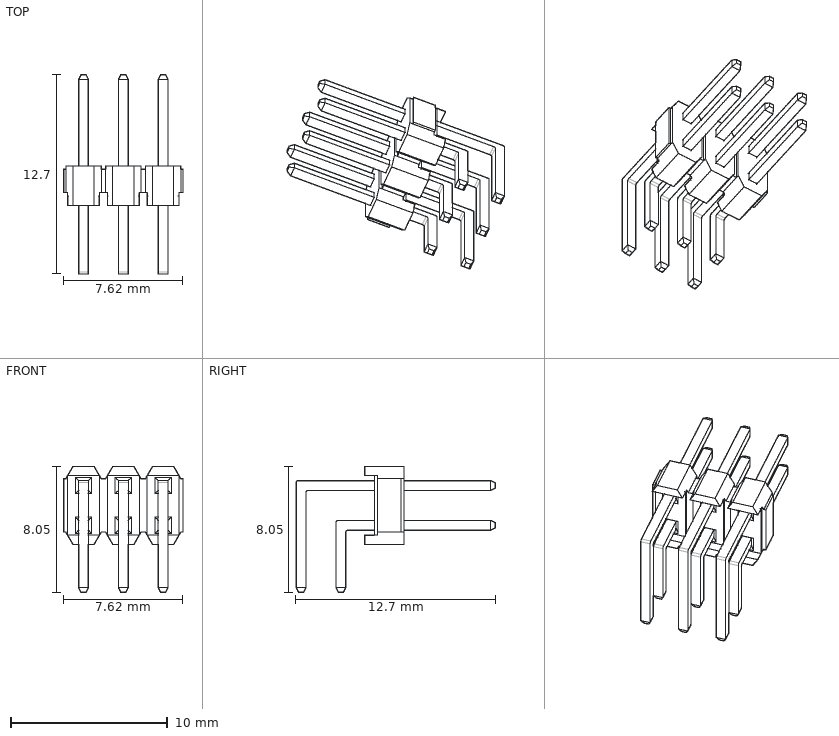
import cadquery as cq

OVERALL_LENGTH = 12.72
OVERALL_HEIGHT = 8.05

COLUMNS = 3
HOUSING_WIDTH = 7.62
PITCH = HOUSING_WIDTH / COLUMNS

HOUSING_HEIGHT = 5.0
CELL_TOP_WIDTH = 1.35
CELL_WIDTH = 2.26
WEB_HEIGHT = 3.41
WEB_BACK_Y = -0.2
WEB_FRONT_Y = -1.7
FACE_WIDTH = 2.05
FACE_HEIGHT = 3.8
FACE_Y = -1.91
LIP_Y = -2.53

FUNNEL_WIDTH = 1.04
FUNNEL_DEPTH = 0.2

PIN_WIDTH = 0.64
PIN_BACK_Y = 5.83
LONG_PIN_FRONT_Y = PIN_BACK_Y - OVERALL_LENGTH
SHORT_PIN_FRONT_Y = LONG_PIN_FRONT_Y + PITCH
PIN_BOTTOM_Z = HOUSING_HEIGHT / 2 - OVERALL_HEIGHT
BEND_RADIUS = 0.13
TIP_LENGTH = 0.3
TIP_WIDTH = 0.33

COLUMN_XS = [(i - (COLUMNS - 1) / 2) * PITCH for i in range(COLUMNS)]
UPPER_ROW_Z = PITCH / 2
LOWER_ROW_Z = -PITCH / 2


def block(width, height, back_y, front_y, x=0.0):
    """Box centred on x and on Z = 0, between two Y positions."""
    middle_y = (back_y + front_y) / 2
    return cq.Workplane("XY").box(width, back_y - front_y, height).translate((x, middle_y, 0))


def square_frustum(plane, start_width, end_width, length):
    """Solid that tapers between two squares along the normal of a plane."""
    return (
        cq.Workplane(plane)
        .rect(start_width, start_width)
        .workplane(offset=length)
        .rect(end_width, end_width)
        .loft(combine=True)
    )


def make_cell(x):
    """Bevelled column of the housing: full width at the web, lips at the front."""
    half_top = CELL_TOP_WIDTH / 2
    half_width = CELL_WIDTH / 2
    half_height = HOUSING_HEIGHT / 2
    half_web = WEB_HEIGHT / 2
    cell = (
        cq.Workplane("XZ", origin=(x, 0, 0))
        .polyline([
            (-half_top, half_height),
            (half_top, half_height),
            (half_width, half_web),
            (half_width, -half_web),
            (half_top, -half_height),
            (-half_top, -half_height),
            (-half_width, -half_web),
            (-half_width, half_web),
        ])
        .close()
        .extrude(-LIP_Y)
    )
    front_gap = block(PITCH, FACE_HEIGHT, WEB_FRONT_Y, LIP_Y, x)
    raised_face = block(FACE_WIDTH, FACE_HEIGHT, WEB_FRONT_Y, FACE_Y, x)
    return cell.cut(front_gap).union(raised_face)


def make_pin_hole(x, z):
    """Square through hole with a funnel at the front face."""
    hole = block(PIN_WIDTH, PIN_WIDTH, 0.0, FACE_Y, x).translate((0, 0, z))
    front_plane = cq.Plane(origin=(x, FACE_Y, z), xDir=(1, 0, 0), normal=(0, 1, 0))
    return hole.union(square_frustum(front_plane, FUNNEL_WIDTH, PIN_WIDTH, FUNNEL_DEPTH))


def make_housing():
    body = block(HOUSING_WIDTH, WEB_HEIGHT, WEB_BACK_Y, WEB_FRONT_Y)
    for x in COLUMN_XS:
        body = body.union(make_cell(x))
    for x in COLUMN_XS:
        for z in (UPPER_ROW_Z, LOWER_ROW_Z):
            body = body.cut(make_pin_hole(x, z))
    return body


def make_pin(x, row_z, front_y):
    """Right-angle pin: runs along Y through the housing, then turns down."""
    half = PIN_WIDTH / 2
    top_z = row_z + half
    under_z = row_z - half
    leg_back_y = front_y + PIN_WIDTH
    tip_start_y = PIN_BACK_Y - TIP_LENGTH
    tip_start_z = PIN_BOTTOM_Z + TIP_LENGTH

    bar = (
        cq.Workplane("YZ", origin=(x - half, 0, 0))
        .moveTo(tip_start_y, top_z)
        .lineTo(front_y + BEND_RADIUS, top_z)
        .radiusArc((front_y, top_z - BEND_RADIUS), -BEND_RADIUS)
        .lineTo(front_y, tip_start_z)
        .lineTo(leg_back_y, tip_start_z)
        .lineTo(leg_back_y, under_z - BEND_RADIUS)
        .radiusArc((leg_back_y + BEND_RADIUS, under_z), BEND_RADIUS)
        .lineTo(tip_start_y, under_z)
        .close()
        .extrude(PIN_WIDTH)
    )
    back_plane = cq.Plane(origin=(x, tip_start_y, row_z), xDir=(1, 0, 0), normal=(0, 1, 0))
    foot_plane = cq.Plane(origin=(x, front_y + half, tip_start_z), xDir=(1, 0, 0), normal=(0, 0, -1))
    for plane in (back_plane, foot_plane):
        bar = bar.union(square_frustum(plane, PIN_WIDTH, TIP_WIDTH, TIP_LENGTH))
    return bar


housing = make_housing()
long_pins = [make_pin(x, UPPER_ROW_Z, LONG_PIN_FRONT_Y) for x in COLUMN_XS]
short_pins = [make_pin(x, LOWER_ROW_Z, SHORT_PIN_FRONT_Y) for x in COLUMN_XS]

result = cq.Compound.makeCompound(
    [housing.val()] + [pin.val() for pin in long_pins + short_pins]
)